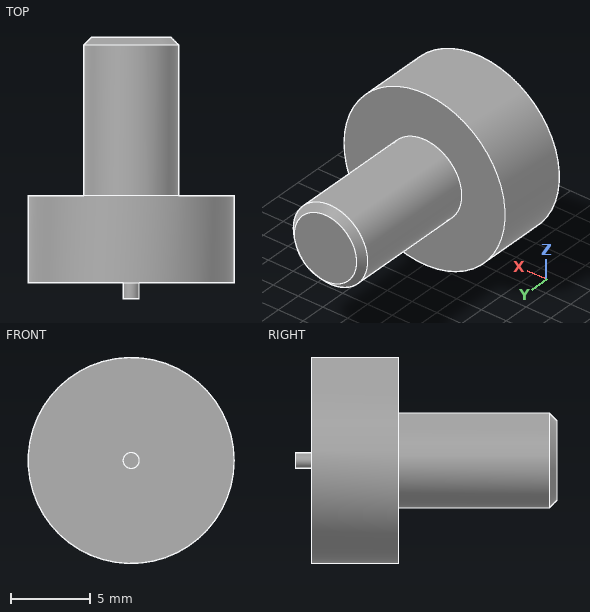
import cadquery as cq

total_length = 16.5

head_diameter = 13.0
head_length = 5.5

shank_diameter = 6.0
shank_length = 10.0
shank_chamfer = 0.5

pin_diameter = 1.0
pin_length = total_length - head_length - shank_length


def cylinder_along_y(diameter, start_y, length):
    """Solid cylinder on the Y axis, growing towards +Y from start_y."""
    base = cq.Workplane("XZ", origin=(0, start_y, 0))
    return base.circle(diameter / 2).extrude(-length)


head = cylinder_along_y(head_diameter, 0, head_length)
pin = cylinder_along_y(pin_diameter, -pin_length, pin_length)
shank = cylinder_along_y(shank_diameter, head_length, shank_length)
shank = shank.faces(">Y").chamfer(shank_chamfer)

result = head.union(shank).union(pin)